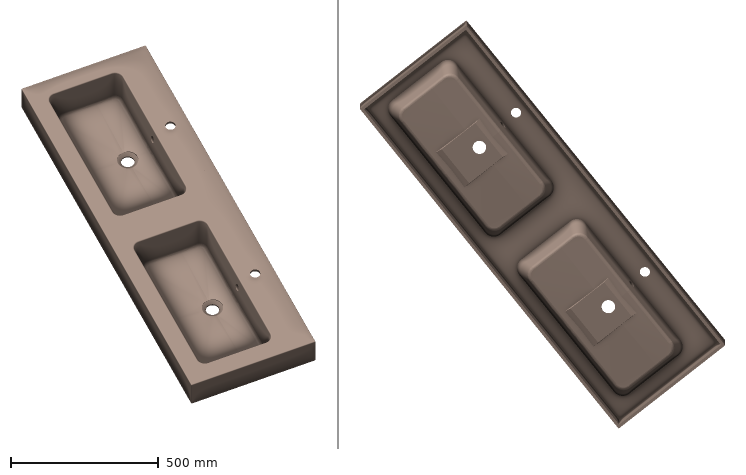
import cadquery as cq

PICK_TOLERANCE = 1.0

LENGTH = 1405.0
WIDTH = 460.0
SLAB_HEIGHT = 100.0
TOTAL_HEIGHT = 120.0
WALL = 10.0
SLAB_EDGE_RADIUS = 3.0

BASIN_SPACING = 700.0
RIM_LENGTH = 574.0
RIM_BACK = 104.0
RIM_FRONT = -166.5
RIM_CORNER_RADIUS = 29.0
RIM_EDGE_RADIUS = 4.0
SIDE_TAPER = 28.0
BACK_TAPER = 15.0
FRONT_TAPER = 25.5
TAPER_DEPTH = 95.0
FLOOR_EDGE_RADIUS = 12.0

FLOOR_EDGE_DEPTH = 94.0
FLOOR_DRAIN_DEPTH = 108.0
UNDERSIDE_EDGE_DEPTH = 109.0
UNDERSIDE_DRAIN_DEPTH = 120.0
PANEL_MARGIN = 14.0

DRAIN_Y = 6.0
DRAIN_DIAMETER = 46.0
DRAIN_RIM_DIAMETER = 72.0
DRAIN_SEAT_DEPTH = 106.5
DRAIN_SEAT_HEIGHT = 8.0
TAP_Y = 164.0
TAP_DIAMETER = 35.0
OVERFLOW_DIAMETER = 25.0
OVERFLOW_DEPTH = 41.0
OVERFLOW_START_Y = 70.0
OVERFLOW_LENGTH = 60.0

PAD_Y = -25.0
PAD_TOP_DEPTH = 104.0
PAD_TOP_SIZE = (160.0, 230.0)
PAD_BOTTOM_SIZE = (150.0, 145.0)


def make_slab():
    block = cq.Workplane("XY").box(LENGTH, WIDTH, SLAB_HEIGHT, centered=(True, True, False))
    block = block.translate((0, 0, -SLAB_HEIGHT))
    block = block.edges("|Z or >Z").fillet(SLAB_EDGE_RADIUS)
    cavity_size = (LENGTH - 2 * WALL, WIDTH - 2 * WALL, SLAB_HEIGHT - WALL)
    cavity = cq.Workplane("XY").box(*cavity_size, centered=(True, True, False))
    return block.cut(cavity.translate((0, 0, -SLAB_HEIGHT)))


def make_quad(*corners):
    return cq.Face.makeFromWires(cq.Wire.makePolygon(corners, close=True))


def close_solid(bottom_face, bottom, top):
    """Solid between four bottom corners, spanned by bottom_face, and four top corners."""
    faces = [bottom_face, make_quad(*top)]
    for i in range(len(bottom)):
        faces.append(make_quad(bottom[i - 1], bottom[i], top[i], top[i - 1]))
    return cq.Workplane(cq.Solid.makeSolid(cq.Shell.makeShell(faces)))


def wall_corners(depth, offset):
    """Corners of the basin walls at a depth, before rounding, grown outwards by offset."""
    taper = depth / TAPER_DEPTH
    half_length = RIM_LENGTH / 2 - SIDE_TAPER * taper + offset
    back = RIM_BACK - BACK_TAPER * taper + offset
    front = RIM_FRONT + FRONT_TAPER * taper - offset
    signed_corners = [(-half_length, front), (half_length, front), (half_length, back), (-half_length, back)]
    return [cq.Vector(x, y, -depth) for x, y in signed_corners]


def make_walls(offset):
    """Tapered block with rounded corners, bounded by the basin walls."""
    bottom = wall_corners(TOTAL_HEIGHT, offset)
    block = close_solid(make_quad(*bottom), bottom, wall_corners(0, offset))
    return block.edges("not(#Z)").fillet(RIM_CORNER_RADIUS + offset)


def quarter_block(end_y, edge_depth, drain_depth):
    """Block from the drain axis to +X and end_y, flat at Z = 0, with one floor panel as its underside."""
    side_x = RIM_LENGTH / 2 + PANEL_MARGIN
    centre = cq.Vector(0, DRAIN_Y, -drain_depth)
    side = cq.Vector(side_x, DRAIN_Y, -edge_depth)
    corner = cq.Vector(side_x, end_y, -edge_depth)
    end = cq.Vector(0, end_y, -edge_depth)
    bottom = [centre, side, corner, end]
    top = [cq.Vector(point.x, point.y, 0) for point in bottom]
    panel = cq.Face.makeRuledSurface(cq.Edge.makeLine(corner, end), cq.Edge.makeLine(side, centre))
    return close_solid(panel, bottom, top)


def floor_rim_edges(quarter):
    """Edges where the walls of a quarter bowl meet its floor panel, without the two panel seams."""
    low_edges = [edge for edge in quarter.edges().vals() if edge.BoundingBox().zmax < -FLOOR_EDGE_DEPTH]
    off_side_seam = [edge for edge in low_edges if abs(edge.Center().y - DRAIN_Y) > PICK_TOLERANCE]
    return [edge for edge in off_side_seam if edge.Center().x > PICK_TOLERANCE]


def make_bowl(offset, edge_depth, drain_depth):
    """Solid filling a basin centred on X = 0, with walls grown outwards by offset."""
    walls = make_walls(offset)
    quarters = []
    for end_y in (RIM_FRONT - PANEL_MARGIN, RIM_BACK + PANEL_MARGIN):
        quarter = walls.intersect(quarter_block(end_y, edge_depth, drain_depth))
        quarter = quarter.newObject(floor_rim_edges(quarter)).fillet(FLOOR_EDGE_RADIUS)
        quarters += [quarter.val(), quarter.mirror("YZ").val()]
    return cq.Workplane(quarters[0].fuse(*quarters[1:]).clean())


def make_pad():
    """Tapered block that thickens the underside around the drain."""
    pad_top = cq.Workplane("XY", origin=(0, PAD_Y, -PAD_TOP_DEPTH)).rect(*PAD_TOP_SIZE)
    return pad_top.workplane(offset=PAD_TOP_DEPTH - TOTAL_HEIGHT).rect(*PAD_BOTTOM_SIZE).loft(ruled=True)


def upright_cylinder(y, diameter, top_depth, bottom_depth):
    plane = cq.Workplane("XY", origin=(0, y, -bottom_depth))
    return plane.circle(diameter / 2).extrude(bottom_depth - top_depth)


def make_drain():
    """Through hole with a conical seat at the lowest point of the floor."""
    hole = upright_cylinder(DRAIN_Y, DRAIN_DIAMETER, SLAB_HEIGHT, TOTAL_HEIGHT)
    seat_top = cq.Workplane("XY", origin=(0, DRAIN_Y, -DRAIN_SEAT_DEPTH)).circle(DRAIN_RIM_DIAMETER / 2)
    seat = seat_top.workplane(offset=-DRAIN_SEAT_HEIGHT).circle(DRAIN_DIAMETER / 2).loft()
    clearance = upright_cylinder(DRAIN_Y, DRAIN_RIM_DIAMETER, FLOOR_EDGE_DEPTH, DRAIN_SEAT_DEPTH)
    return hole.union(seat).union(clearance)


def make_overflow():
    """Hole through the back wall of the basin, opening into the hollow of the slab."""
    plane = cq.Workplane("XZ", origin=(0, OVERFLOW_START_Y, -OVERFLOW_DEPTH))
    return plane.circle(OVERFLOW_DIAMETER / 2).extrude(-OVERFLOW_LENGTH)


def rim_selector():
    """Selects the edges of the top face that lie well inside the slab outline."""
    reach_x = LENGTH / 2 - RIM_CORNER_RADIUS
    reach_y = WIDTH / 2 - RIM_CORNER_RADIUS
    lower_corner = (-reach_x, -reach_y, -PICK_TOLERANCE)
    upper_corner = (reach_x, reach_y, PICK_TOLERANCE)
    return cq.selectors.BoxSelector(lower_corner, upper_corner)


def make_part():
    outer = make_bowl(WALL, UNDERSIDE_EDGE_DEPTH, UNDERSIDE_DRAIN_DEPTH).union(make_pad())
    tap_hole = upright_cylinder(TAP_Y, TAP_DIAMETER, 0, SLAB_HEIGHT)
    holes = make_drain().union(make_overflow()).union(tap_hole)
    inner = make_bowl(0, FLOOR_EDGE_DEPTH, FLOOR_DRAIN_DEPTH)
    positions = [(-BASIN_SPACING / 2, 0, 0), (BASIN_SPACING / 2, 0, 0)]
    part = make_slab()
    for position in positions:
        part = part.union(outer.translate(position)).cut(inner.translate(position))
    part = part.edges(rim_selector()).fillet(RIM_EDGE_RADIUS)
    for position in positions:
        part = part.cut(holes.translate(position))
    return part


result = make_part()